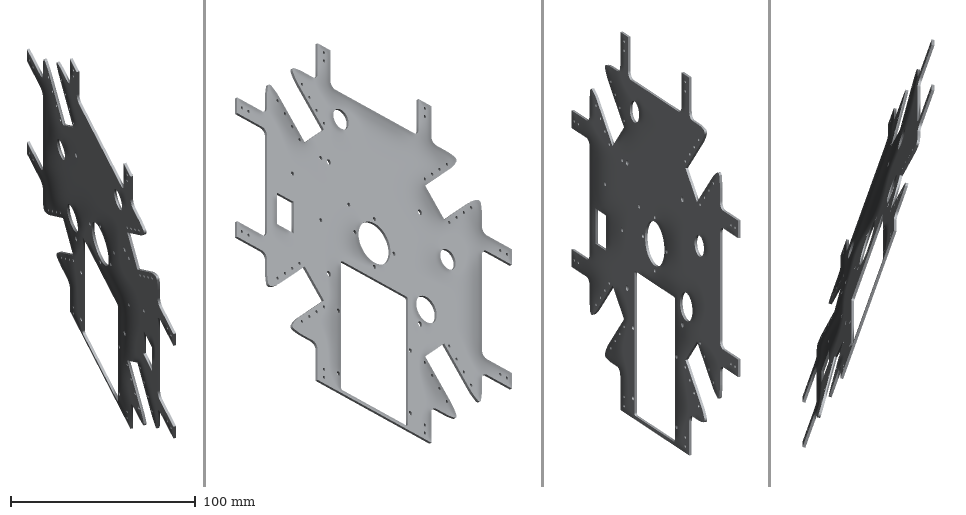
import cadquery as cq
import math

SPAN = 215.0
THICKNESS = 1.52
BODY_HALF = 84.1
REACH = SPAN / 2

ARM_WIDTH = 10.0
ARM_OFFSET = 39.5
ARM_INNER = ARM_OFFSET - ARM_WIDTH / 2
ARM_OUTER = ARM_OFFSET + ARM_WIDTH / 2
ARM_ROOT_RADIUS = 4.0
ARM_HOLE_DIAMETER = 1.8
ARM_HOLE_EDGE_GAP = 3.8
ARM_HOLE_SPACING = 5.2

SLOT_HALF_WIDTH = 10.55
SLOT_FLOOR = 66.6
FLARE_START = 94.5
FIN_EDGE_END = 56.0
FIN_TIP_OUTER = (83.2, 63.2)
FIN_TIP_MIDDLE = (82.0, 64.2)
FIN_TIP_INNER = (80.7, 64.0)
SLOT_HOLE_DIAMETER = 1.8
SLOT_HOLE_WALL_GAP = 2.95
SLOT_HOLE_FLOOR_GAP = 2.75
SLOT_HOLE_SPACING = 8.1
SLOT_HOLE_COUNT = 4

CENTRE_BORE_DIAMETER = 25.0
CENTRE_BOLT_RADIUS = 15.25
CENTRE_BOLT_DIAMETER = 2.4

STANDOFF_OFFSET = 35.65
STANDOFF_DIAMETER = 3.2

BOARD_HOLES = [(42.0, 35.4), (20.1, 15.4), (64.0, 15.4), (42.0, -4.4)]
BOARD_HOLE_DIAMETER = 2.4

CABLE_OPENINGS = [(26.2, 67.3, 12.0), (-57.5, 15.5, 12.0), (-40.7, -24.1, 16.0)]

SWITCH_CENTRE = (69.7, -12.3)
SWITCH_SIZE = (13.0, 20.0)

WINDOW_WIDTH = 52.5
WINDOW_TOP = -23.0
WINDOW_BOTTOM = -105.3
WINDOW_RADIUS = 1.5
WINDOW_HOLE_OFFSET = 28.15
WINDOW_HOLE_HEIGHTS = (-56.0, -96.0)
WINDOW_HOLE_DIAMETER = 2.5


def turn(point, quarter):
    """Turn a point about the plate centre by a number of quarter turns."""
    x, z = point
    for _ in range(quarter):
        x, z = -z, x
    return (x, z)


def swap(point):
    """Mirror a point across the x = z diagonal."""
    return (point[1], point[0])


def beside_diagonal(along, across):
    """Point given by its distance along the x = z diagonal and toward +X from it."""
    return ((along + across) / math.sqrt(2), (along - across) / math.sqrt(2))


def root_arc_middle(z_sign, arm_edge):
    """Middle of the fillet joining the +X side to an arm edge, on the z_sign side of it."""
    inset = ARM_ROOT_RADIUS * (1 - math.sqrt(0.5))
    return (BODY_HALF + inset, arm_edge + z_sign * inset)


def tangent_arc_middle(start, direction, end):
    """Middle of the arc that leaves start along direction and reaches end."""
    chord_x = end[0] - start[0]
    chord_z = end[1] - start[1]
    turn_angle = math.atan2(chord_z, chord_x) - math.atan2(direction[1], direction[0])
    bulge = math.tan(turn_angle / 2) / 2
    return (start[0] + chord_x / 2 + bulge * chord_z, start[1] + chord_z / 2 - bulge * chord_x)


def corner_half_path():
    """Steps from the middle of the +X side to the +X end of the slot floor."""
    radius = ARM_ROOT_RADIUS
    flare_start = beside_diagonal(FLARE_START, SLOT_HALF_WIDTH)
    fin_edge_end = (BODY_HALF, FIN_EDGE_END)
    return [
        ((BODY_HALF, ARM_INNER - radius), None),
        ((BODY_HALF + radius, ARM_INNER), root_arc_middle(-1, ARM_INNER)),
        ((REACH, ARM_INNER), None),
        ((REACH, ARM_OUTER), None),
        ((BODY_HALF + radius, ARM_OUTER), None),
        ((BODY_HALF, ARM_OUTER + radius), root_arc_middle(1, ARM_OUTER)),
        (fin_edge_end, None),
        (FIN_TIP_OUTER, tangent_arc_middle(fin_edge_end, (0, 1), FIN_TIP_OUTER)),
        (FIN_TIP_INNER, FIN_TIP_MIDDLE),
        (flare_start, tangent_arc_middle(flare_start, (1, 1), FIN_TIP_INNER)),
        (beside_diagonal(SLOT_FLOOR, SLOT_HALF_WIDTH), None),
    ]


def mirrored_path(path):
    """The same path run backwards on the other side of the diagonal."""
    steps = [(swap(path[-1][0]), None)]
    for index in range(len(path) - 1, 0, -1):
        middle = path[index][1]
        steps.append((swap(path[index - 1][0]), swap(middle) if middle else None))
    return steps


def make_plate():
    half = corner_half_path()
    corner = half + mirrored_path(half)
    outline = cq.Workplane("XZ").moveTo(BODY_HALF, 0)
    for quarter in range(4):
        for end, middle in corner:
            if middle is None:
                outline = outline.lineTo(*turn(end, quarter))
            else:
                outline = outline.threePointArc(turn(middle, quarter), turn(end, quarter))
    plate = outline.close().extrude(THICKNESS / 2, both=True)
    tail_depth = REACH - BODY_HALF
    tail = cq.Workplane("XZ").center(0, -REACH + tail_depth / 2)
    return plate.union(tail.rect(2 * ARM_OFFSET, tail_depth).extrude(THICKNESS / 2, both=True))


def cutter(sketch):
    """Extrude a closed XZ sketch through the whole plate."""
    return sketch.extrude(THICKNESS, both=True)


def drill(plate, points, diameter):
    return plate.cut(cutter(cq.Workplane("XZ").pushPoints(points).circle(diameter / 2)))


def arm_hole_points():
    outer = REACH - ARM_HOLE_EDGE_GAP
    return [
        turn((distance, side * ARM_OFFSET), quarter)
        for quarter in range(4)
        for side in (-1, 1)
        for distance in (outer, outer - ARM_HOLE_SPACING)
    ]


def slot_hole_points():
    across = SLOT_HALF_WIDTH + SLOT_HOLE_WALL_GAP
    first = SLOT_FLOOR + SLOT_HOLE_FLOOR_GAP
    return [
        turn(beside_diagonal(first + index * SLOT_HOLE_SPACING, side * across), quarter)
        for quarter in range(4)
        for side in (-1, 1)
        for index in range(SLOT_HOLE_COUNT)
    ]


def cut_centre_bore(plate):
    plate = drill(plate, [(0, 0)], CENTRE_BORE_DIAMETER)
    bolts = [turn((CENTRE_BOLT_RADIUS, 0), quarter) for quarter in range(4)]
    return drill(plate, bolts, CENTRE_BOLT_DIAMETER)


def cut_switch(plate):
    return plate.cut(cutter(cq.Workplane("XZ").center(*SWITCH_CENTRE).rect(*SWITCH_SIZE)))


def cut_window(plate):
    height = WINDOW_TOP - WINDOW_BOTTOM
    sketch = cq.Workplane("XZ").center(0, (WINDOW_TOP + WINDOW_BOTTOM) / 2).rect(WINDOW_WIDTH, height)
    plate = plate.cut(cutter(sketch).edges("|Y").fillet(WINDOW_RADIUS))
    holes = [(side * WINDOW_HOLE_OFFSET, z) for side in (-1, 1) for z in WINDOW_HOLE_HEIGHTS]
    return drill(plate, holes, WINDOW_HOLE_DIAMETER)


result = make_plate()
result = drill(result, arm_hole_points(), ARM_HOLE_DIAMETER)
result = drill(result, slot_hole_points(), SLOT_HOLE_DIAMETER)
result = cut_centre_bore(result)
standoffs = [turn((STANDOFF_OFFSET, STANDOFF_OFFSET), quarter) for quarter in range(4)]
result = drill(result, standoffs, STANDOFF_DIAMETER)
result = drill(result, BOARD_HOLES, BOARD_HOLE_DIAMETER)
for opening_x, opening_z, opening_diameter in CABLE_OPENINGS:
    result = drill(result, [(opening_x, opening_z)], opening_diameter)
result = cut_switch(result)
result = cut_window(result)